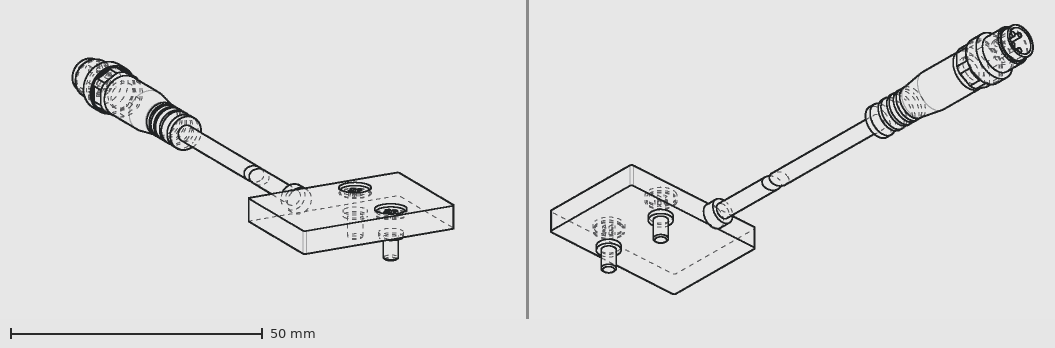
import cadquery as cq

LENGTH = 112.5
HEIGHT = 13.0
OVERLAP = 0.6

CABLE_DIA = 3.4
PLUG_CABLE_END = 69.9
SENSOR_CABLE_START = 72.0
CUT_LEAN = 0.6

TIP_END = 1.9
THREAD_START = 2.2
THREAD_END = 6.8
RING_START = 7.5
RING_END = 10.5
FLATS_START = 10.9
NUT_END = 13.7
GRIP_START = 15.0
TAPER_START = 25.3
SLEEVE_START = 30.7
PLUG_END = 41.2
TIP_DIA = 7.0
THREAD_STEP_DIA = 7.5
THREAD_DIA = 8.0
RING_DIA = 10.0
NUT_CORNER_DIA = 9.3
NUT_ACROSS_FLATS = 8.8
NECK_DIA = 5.6
GRIP_DIA = 8.5
SLEEVE_DIA = 7.0

WAISTS = ((31.3, 32.3), (33.1, 34.3), (35.0, 36.7), (37.5, 39.8))
WAIST_DIA = 6.4

SOCKET_MOUTH_DIA = 5.7
SOCKET_FLOOR_DIA = 5.4
SOCKET_DEPTH = 5.6

PIN_DIA = 1.0
PIN_TIP_GAP = 0.6
PIN_PLACES = ((-0.3, 1.8), (1.5, 1.2), (1.5, -1.2), (-0.3, -1.8))

PLATE_LENGTH = 23.6
PLATE_WIDTH = 34.0
PLATE_THICKNESS = 4.8
PLATE_CENTRE_Y = 5.4
PLATE_CORNER_RADIUS = 0.51
PLATE_START = LENGTH - PLATE_LENGTH
COLLAR_DIA = 5.4
COLLAR_LENGTH = 2.7

SCREW_CENTRES_X = (93.3, 108.3)
SCREW_Y = 10.2
SCREW_DIA = 3.0
SCREW_BOTTOM_Z = RING_DIA / 2 - HEIGHT
SCREW_CHAMFER = 0.3
BUSH_DIA = 5.0
BUSH_BOTTOM_Z = -3.4
HEAD_DIA = 5.8
HEAD_BORE_DIA = 6.4
HEAD_SINK = 0.6
HEAD_GAP_DEPTH = 1.1
CROSS_LENGTH = 2.7
CROSS_WIDTH = 0.8
CROSS_DEPTH = 1.1


def rod(diameter, start, end):
    """Cylinder on the cable axis between two X stations."""
    return cq.Workplane("YZ", origin=(start, 0, 0)).circle(diameter / 2).extrude(end - start)


def cut_half(x_on_axis, side):
    """Block filling the space on one side (-1 or 1 along X) of the slanted cable cut."""
    reach = CABLE_DIA
    far = x_on_axis + side * LENGTH
    return (
        cq.Workplane("XY", origin=(0, 0, -reach))
        .moveTo(x_on_axis - CUT_LEAN * reach, -reach)
        .lineTo(x_on_axis + CUT_LEAN * reach, reach)
        .lineTo(far, reach)
        .lineTo(far, -reach)
        .close()
        .extrude(2 * reach)
    )


def plug_shell():
    """Turned outline of the plug, from the threaded tip to the cable sleeve."""
    outline = (
        cq.Workplane("XY")
        .moveTo(0, 0)
        .lineTo(0, TIP_DIA / 2)
        .lineTo(TIP_END, TIP_DIA / 2)
        .lineTo(TIP_END, THREAD_STEP_DIA / 2)
        .lineTo(THREAD_START, THREAD_DIA / 2)
        .lineTo(THREAD_END, THREAD_DIA / 2)
        .lineTo(RING_START, RING_DIA / 2)
        .lineTo(RING_END, RING_DIA / 2)
        .lineTo(RING_END, NECK_DIA / 2)
        .lineTo(GRIP_START, NECK_DIA / 2)
        .lineTo(GRIP_START, GRIP_DIA / 2)
        .lineTo(TAPER_START, GRIP_DIA / 2)
        .lineTo(SLEEVE_START, SLEEVE_DIA / 2)
    )
    for start, end in WAISTS:
        outline = outline.lineTo(start, SLEEVE_DIA / 2)
        outline = outline.threePointArc(((start + end) / 2, WAIST_DIA / 2), (end, SLEEVE_DIA / 2))
    outline = outline.lineTo(PLUG_END, SLEEVE_DIA / 2).lineTo(PLUG_END, 0).close()
    return outline.revolve(360, (0, 0, 0), (1, 0, 0))


def nut():
    """Round collar with six flats, two of them facing -Y and +Y."""
    hexagon = (
        cq.Workplane("YZ", origin=(FLATS_START, 0, 0))
        .polygon(6, NUT_ACROSS_FLATS, circumscribed=True)
        .extrude(NUT_END - FLATS_START)
    )
    wrench_part = rod(NUT_CORNER_DIA, FLATS_START, NUT_END).intersect(hexagon)
    return rod(NUT_CORNER_DIA, RING_END - OVERLAP, FLATS_START).union(wrench_part)


def socket():
    """Tapered hole in the open end of the plug."""
    return (
        cq.Workplane("YZ")
        .circle(SOCKET_MOUTH_DIA / 2)
        .workplane(offset=SOCKET_DEPTH)
        .circle(SOCKET_FLOOR_DIA / 2)
        .loft()
    )


def make_plug():
    """Plug with its contact pins and its length of cable."""
    plug = plug_shell().union(nut()).cut(socket())
    pins = (
        cq.Workplane("YZ", origin=(PIN_TIP_GAP, 0, 0))
        .pushPoints(PIN_PLACES)
        .circle(PIN_DIA / 2)
        .extrude(SOCKET_DEPTH + OVERLAP - PIN_TIP_GAP)
    )
    cable = rod(CABLE_DIA, PLUG_END - OVERLAP, PLUG_CABLE_END + CABLE_DIA)
    cable = cable.intersect(cut_half(PLUG_CABLE_END, -1))
    return plug.union(pins).union(cable)


def screw_shank(x):
    """Bush and chamfered screw end below the plate."""
    top = -PLATE_THICKNESS / 2 + OVERLAP
    plane = cq.Workplane("XY", origin=(x, SCREW_Y, top))
    bush = plane.circle(BUSH_DIA / 2).extrude(BUSH_BOTTOM_Z - top)
    shank = plane.circle(SCREW_DIA / 2).extrude(SCREW_BOTTOM_Z - top)
    return bush.union(shank.faces("<Z").chamfer(SCREW_CHAMFER))


def screw_head_recess(x):
    """Space above the sunk screw head, the ring gap around it and the cross recess in it."""
    top = PLATE_THICKNESS / 2
    plate_top = cq.Workplane("XY", origin=(x, SCREW_Y, top))
    head_top = cq.Workplane("XY", origin=(x, SCREW_Y, top - HEAD_SINK))
    bore = plate_top.circle(HEAD_BORE_DIA / 2).extrude(-HEAD_GAP_DEPTH)
    head = head_top.circle(HEAD_DIA / 2).extrude(HEAD_SINK - HEAD_GAP_DEPTH)
    slot = head_top.rect(CROSS_LENGTH, CROSS_WIDTH).extrude(-CROSS_DEPTH)
    cross_slot = head_top.rect(CROSS_WIDTH, CROSS_LENGTH).extrude(-CROSS_DEPTH)
    return bore.cut(head).union(slot).union(cross_slot)


def make_sensor():
    """Sensor plate with its screws, cable collar and length of cable."""
    sensor = (
        cq.Workplane("XY", origin=(PLATE_START + PLATE_LENGTH / 2, PLATE_CENTRE_Y, 0))
        .box(PLATE_LENGTH, PLATE_WIDTH, PLATE_THICKNESS)
        .edges("|Z")
        .fillet(PLATE_CORNER_RADIUS)
    )
    for x in SCREW_CENTRES_X:
        sensor = sensor.union(screw_shank(x)).cut(screw_head_recess(x))
    collar = rod(COLLAR_DIA, PLATE_START - COLLAR_LENGTH, PLATE_START)
    cable = rod(CABLE_DIA, SENSOR_CABLE_START - CABLE_DIA, PLATE_START)
    cable = cable.intersect(cut_half(SENSOR_CABLE_START, 1))
    return sensor.union(collar).union(cable)


plug = make_plug()
sensor = make_sensor()

result = cq.Compound.makeCompound([plug.val(), sensor.val()])